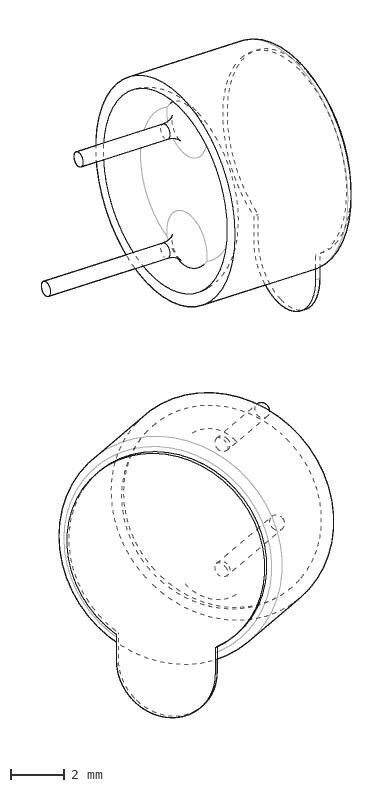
import cadquery as cq
import math


body_radius = 4.5
body_height = 5.5
rim_fillet = 0.3
mouth_radius = 4.0
recess_depth = 1.0
floor_radius = mouth_radius - recess_depth

pin_radius = 0.3
pin_spacing = 5.0
upper_pin_length = 4.0
lower_pin_length = 5.5
flare_radius = pin_radius + recess_depth
pin_places = [
    (pin_spacing / 2, upper_pin_length),
    (-pin_spacing / 2, lower_pin_length),
]

label_radius = 4.0
label_thickness = 0.2
tab_width = 4.0
tab_radius = tab_width / 2
tab_centre_z = -body_radius

AXIS_START = (0, 0)
AXIS_END = (0, 1)
ARC_MIDDLE = math.sqrt(0.5)
FULL_TURN = 360


def disc(radius, start_y, length):
    """Solid cylinder along Y, growing from start_y towards +Y."""
    return cq.Workplane("XZ", origin=(0, start_y, 0)).circle(radius).extrude(-length)


def make_recess():
    """Bowl with a flat floor and a quarter-round wall that meets the floor smoothly."""
    wall_middle = (floor_radius + recess_depth * ARC_MIDDLE, recess_depth * ARC_MIDDLE)
    return (
        cq.Workplane("XY")
        .lineTo(mouth_radius, 0)
        .threePointArc(wall_middle, (floor_radius, recess_depth))
        .lineTo(0, recess_depth)
        .close()
        .revolve(FULL_TURN, AXIS_START, AXIS_END)
    )


def make_flare(centre_z):
    """Trumpet-shaped boss that rises from the recess floor to the root of a pin."""
    side_middle = (flare_radius - recess_depth * ARC_MIDDLE, recess_depth * ARC_MIDDLE)
    return (
        cq.Workplane("XY")
        .lineTo(pin_radius, 0)
        .threePointArc(side_middle, (flare_radius, recess_depth))
        .lineTo(0, recess_depth)
        .close()
        .revolve(FULL_TURN, AXIS_START, AXIS_END)
        .translate((0, 0, centre_z))
    )


def make_housing():
    """Cylindrical case with a rounded closed end, a recessed mouth and two pin flares."""
    body = disc(body_radius, 0, body_height).faces(">Y").edges().fillet(rim_fillet)
    body = body.cut(make_recess())
    for centre_z, _ in pin_places:
        body = body.union(make_flare(centre_z))
    return body


def make_pin(centre_z, length):
    """Straight round pin standing on the tip of its flare."""
    return disc(pin_radius, -length, length).translate((0, 0, centre_z))


def make_label():
    """Thin round label with a round-ended pull tab hanging below the housing."""
    tab = (
        cq.Workplane("XZ", origin=(0, body_height, 0))
        .moveTo(-tab_radius, 0)
        .lineTo(-tab_radius, tab_centre_z)
        .threePointArc((0, tab_centre_z - tab_radius), (tab_radius, tab_centre_z))
        .lineTo(tab_radius, 0)
        .close()
        .extrude(-label_thickness)
    )
    return disc(label_radius, body_height, label_thickness).union(tab)


housing = make_housing()
label = make_label()
pins = [make_pin(centre_z, length) for centre_z, length in pin_places]

result = cq.Compound.makeCompound([
    housing.solids().val(),
    label.solids().val(),
    *[pin.val() for pin in pins],
])